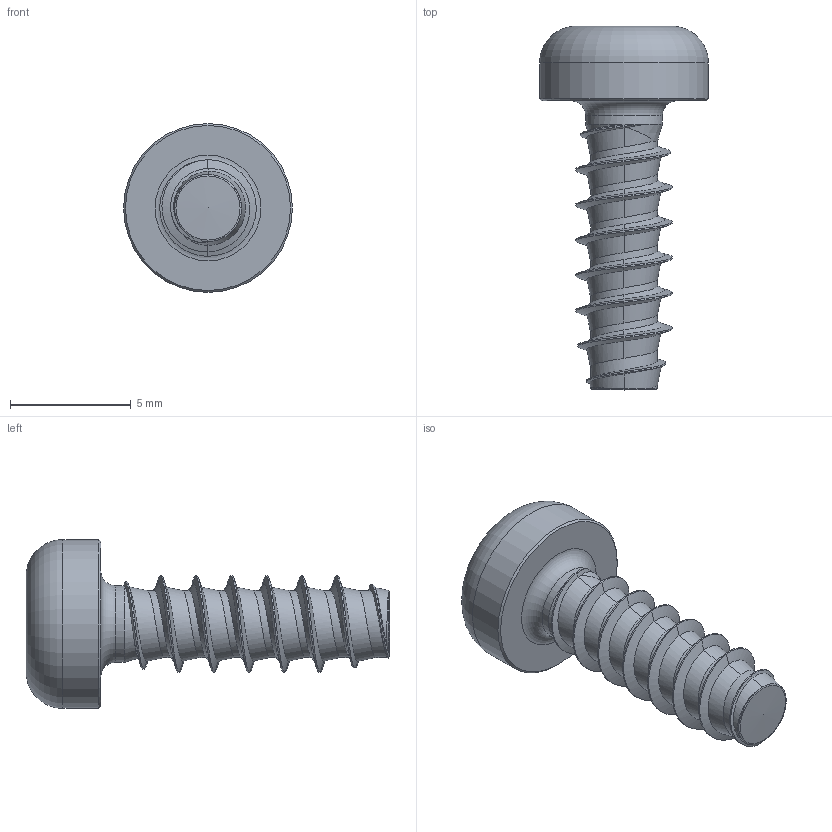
import cadquery as cq
import math


HEAD_RADIUS = 3.5
HEAD_HEIGHT = 3.1
DOME_RADIUS = 1.53
HEAD_EDGE_CHAMFER = 0.08

NECK_RADIUS = 1.59
NECK_FILLET = 0.6
NECK_LENGTH = 0.97
NECK_CONE_LENGTH = 0.7
CONE_OVERLAP = 0.08
SHANK_LENGTH = 11.99
TIP_CONE_HEIGHT = 0.03
TIP_BEVEL_WIDTH = 0.06
TIP_BEVEL_HEIGHT = 0.02

CORE_RADIUS = 1.39
TAPER_RADIUS = 1.57
TAPER_LENGTH = 0.88
LEAST_RIDGE_HEIGHT = 0.11
TAPER_OVERLAP = 0.02
ROOT_RADIUS = 1.25

PITCH = 1.46
THREAD_RADIUS = 2.0
CREST_WIDTH = 0.06
TIP_FLANK_SLOPE = 0.3
KINK_DEPTH = 0.33
KINK_OFFSET = 0.11
FLARE_SLOPE = 0.65

REFERENCE_CREST_Z = 2.13
BAND_START = -1.25
BAND_END = 7.75
RUN_IN_END = 0.25
RUN_OUT_START = 5.25
RUN_IN_RISE_PER_TURN = 0.25
RUN_OUT_DROP_PER_TURN = 0.36
LOWEST_CREST_RADIUS = 1.42

PIECE_TURNS = 0.5
POINTS_PER_TURN = 24


def revolve_profile(sketch):
    """Turn a profile drawn as (radius, height) around the screw axis."""
    return sketch.close().revolve(360, (0, 0, 0), (0, 1, 0))


def make_head():
    """Domed head with the filleted neck below it."""
    arc_middle = 1 - math.sqrt(0.5)
    dome_middle = (
        HEAD_RADIUS - DOME_RADIUS * arc_middle,
        -HEAD_HEIGHT + DOME_RADIUS * arc_middle,
    )
    fillet_middle = (
        NECK_RADIUS + NECK_FILLET * arc_middle,
        NECK_FILLET * arc_middle,
    )
    return revolve_profile(
        cq.Workplane("XZ")
        .moveTo(0, -HEAD_HEIGHT)
        .lineTo(HEAD_RADIUS - DOME_RADIUS, -HEAD_HEIGHT)
        .threePointArc(dome_middle, (HEAD_RADIUS, -HEAD_HEIGHT + DOME_RADIUS))
        .lineTo(HEAD_RADIUS, -HEAD_EDGE_CHAMFER)
        .lineTo(HEAD_RADIUS - HEAD_EDGE_CHAMFER, 0)
        .lineTo(NECK_RADIUS + NECK_FILLET, 0)
        .threePointArc(fillet_middle, (NECK_RADIUS, NECK_FILLET))
        .lineTo(NECK_RADIUS, NECK_LENGTH)
        .lineTo(0, NECK_LENGTH)
    )


def make_neck_cone():
    """Cone that leads from the neck down into the core, ending below its surface."""
    buried_radius = CORE_RADIUS - CONE_OVERLAP
    cone_slope = (NECK_RADIUS - CORE_RADIUS) / NECK_CONE_LENGTH
    cone_end = NECK_LENGTH + (NECK_RADIUS - buried_radius) / cone_slope
    return revolve_profile(
        cq.Workplane("XZ")
        .moveTo(0, NECK_LENGTH)
        .lineTo(NECK_RADIUS, NECK_LENGTH)
        .lineTo(buried_radius, cone_end)
        .lineTo(0, cone_end)
    )


def make_core():
    """Plain core cylinder, longer than the threaded length at both ends."""
    return cq.Workplane("XY", origin=(0, 0, -HEAD_HEIGHT)).circle(CORE_RADIUS).extrude(
        2 * HEAD_HEIGHT + SHANK_LENGTH
    )


def crest_radius(turn):
    """Crest radius: it rises at the neck, stays full and sinks towards the tip."""
    rise_missing = RUN_IN_RISE_PER_TURN * max(0, RUN_IN_END - turn)
    drop = RUN_OUT_DROP_PER_TURN * max(0, turn - RUN_OUT_START)
    return max(LOWEST_CREST_RADIUS, THREAD_RADIUS - rise_missing - drop)


def band_section(turn):
    """Corners (radius, distance from the crest towards the tip) of ridge and taper."""
    crest = crest_radius(turn)
    half_crest = CREST_WIDTH / 2
    kink_radius = crest - KINK_DEPTH
    flare_end = -KINK_OFFSET - FLARE_SLOPE * (kink_radius - ROOT_RADIUS)
    taper_slope = (TAPER_RADIUS - CORE_RADIUS) / TAPER_LENGTH
    taper = max(CORE_RADIUS, min(TAPER_RADIUS, crest - LEAST_RIDGE_HEIGHT))
    foot = (half_crest + TIP_FLANK_SLOPE * (crest - taper)) / (1 - TIP_FLANK_SLOPE * taper_slope)
    taper_end = (taper - CORE_RADIUS + TAPER_OVERLAP) / taper_slope
    return [
        (ROOT_RADIUS, flare_end),
        (kink_radius, -KINK_OFFSET),
        (crest, -half_crest),
        (crest, half_crest),
        (taper - taper_slope * foot, foot),
        (CORE_RADIUS - TAPER_OVERLAP, taper_end),
        (ROOT_RADIUS, taper_end),
    ]


def helix_point(turn, corner):
    """Place one section corner in space at the given turn."""
    radius, offset = corner
    angle = 2 * math.pi * turn
    z = REFERENCE_CREST_Z + PITCH * turn + offset
    return cq.Vector(radius * math.cos(angle), radius * math.sin(angle), z)


def band_corners(turn):
    """Section corners placed in space at the given turn."""
    return [helix_point(turn, corner) for corner in band_section(turn)]


def make_band_sides(start_turn):
    """Helical faces of one piece of the band, one per side of its section."""
    steps = round(PIECE_TURNS * POINTS_PER_TURN)
    turns = [start_turn + step / POINTS_PER_TURN for step in range(steps + 1)]
    tracks = zip(*[band_corners(turn) for turn in turns])
    edges = [cq.Edge.makeSpline(list(track), parameters=turns) for track in tracks]
    return [
        cq.Face.makeRuledSurface(edge, following)
        for edge, following in zip(edges, edges[1:] + edges[:1])
    ]


def make_band_end(turn):
    """Flat face that closes the band at the given turn."""
    return cq.Face.makeFromWires(cq.Wire.makePolygon(band_corners(turn), close=True))


def make_thread_band():
    """Thread ridge and core taper as one solid wound along a right-hand helix."""
    faces = [make_band_end(BAND_START), make_band_end(BAND_END)]
    for piece in range(round((BAND_END - BAND_START) / PIECE_TURNS)):
        faces += make_band_sides(BAND_START + piece * PIECE_TURNS)
    return cq.Workplane(cq.Solid.makeSolid(cq.Shell.makeShell(faces)).fix())


def make_threaded_zone():
    """Envelope that trims core and band: flat at the neck, bevelled and coned at the tip."""
    tip_radius = CORE_RADIUS - TIP_BEVEL_WIDTH
    tip_edge_z = SHANK_LENGTH - TIP_CONE_HEIGHT
    bevel_slope = TIP_BEVEL_HEIGHT / TIP_BEVEL_WIDTH
    rim_z = tip_edge_z - bevel_slope * (HEAD_RADIUS - tip_radius)
    return revolve_profile(
        cq.Workplane("XZ")
        .moveTo(0, NECK_LENGTH)
        .lineTo(HEAD_RADIUS, NECK_LENGTH)
        .lineTo(HEAD_RADIUS, rim_z)
        .lineTo(tip_radius, tip_edge_z)
        .lineTo(0, SHANK_LENGTH)
    )


threaded_length = make_core().union(make_thread_band()).intersect(make_threaded_zone())
screw = threaded_length.union(make_neck_cone()).union(make_head())
result = screw.rotate((0, 0, 0), (1, 0, 0), 90).solids()